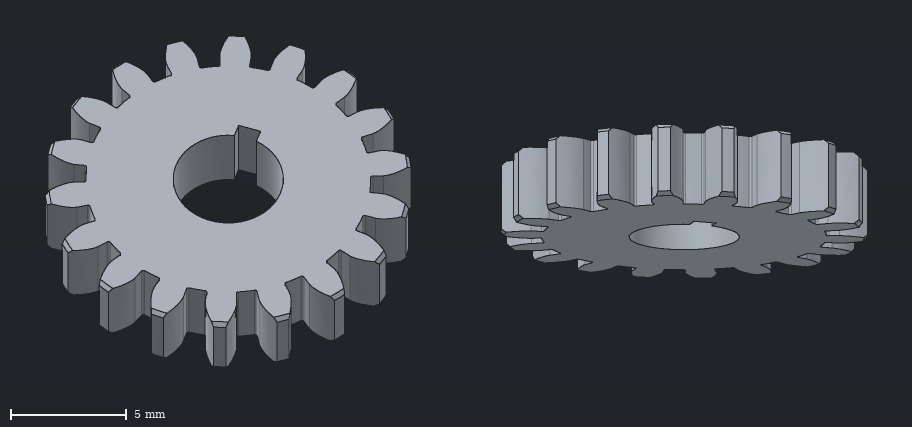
import cadquery as cq
import math

tooth_count = 18
outer_diameter = 15.88
pressure_angle = math.radians(20)
dedendum_ratio = 1.25
first_tooth_angle = 5.86
face_width = 3.17
tip_chamfer = 0.17
root_fillet = 0.1

bore_diameter = 4.76
key_width = 1.0
key_top = 2.9

module = outer_diameter / (tooth_count + 2)
tip_radius = outer_diameter / 2
pitch_radius = module * tooth_count / 2
base_radius = pitch_radius * math.cos(pressure_angle)
root_radius = pitch_radius - dedendum_ratio * module
tooth_pitch = 360 / tooth_count

flank_points = 7


def involute(angle):
    return math.tan(angle) - angle


def tooth_half_angle(radius):
    """Half the angle the tooth covers at a radius, in radians."""
    local_pressure_angle = math.acos(min(1, base_radius / radius))
    half_angle_at_pitch = math.pi / (2 * tooth_count)
    return half_angle_at_pitch + involute(pressure_angle) - involute(local_pressure_angle)


def polar(radius, angle):
    return (radius * math.cos(angle), radius * math.sin(angle))


def make_tooth():
    """Tooth centred on +X: involute flanks, radial below the base circle."""
    step = (tip_radius - base_radius) / (flank_points - 1)
    radii = [base_radius + i * step for i in range(flank_points)]
    lower_flank = [polar(r, -tooth_half_angle(r)) for r in radii]
    upper_flank = [polar(r, tooth_half_angle(r)) for r in reversed(radii)]
    base_half_angle = tooth_half_angle(base_radius)
    foot_radius = root_radius - module

    return (
        cq.Workplane("XY")
        .moveTo(*polar(foot_radius, -base_half_angle))
        .lineTo(*lower_flank[0])
        .spline(lower_flank[1:], includeCurrent=True)
        .threePointArc((tip_radius, 0), upper_flank[0])
        .spline(upper_flank[1:], includeCurrent=True)
        .lineTo(*polar(foot_radius, base_half_angle))
        .close()
        .extrude(face_width)
    )


def make_toothed_body():
    body = cq.Workplane("XY").circle(root_radius).extrude(face_width)
    tooth = make_tooth()
    for i in range(tooth_count):
        angle = first_tooth_angle + i * tooth_pitch
        body = body.union(tooth.rotate((0, 0, 0), (0, 0, 1), angle))
    return body


def round_tooth_roots(body):
    """Fillet the upright corners between the flanks and the root circle."""
    corner_limit = (root_radius + base_radius) / 2
    corners = [
        edge
        for edge in body.edges("|Z").vals()
        if math.hypot(edge.Center().x, edge.Center().y) < corner_limit
    ]
    return body.newObject(corners).fillet(root_fillet)


def chamfer_tips(body):
    """Trim the teeth to a disc whose two rims are chamfered."""
    envelope = cq.Workplane("XY").circle(tip_radius).extrude(face_width)
    envelope = envelope.faces("<Z or >Z").edges().chamfer(tip_chamfer)
    return body.intersect(envelope)


def cut_keyed_bore(body):
    bore = cq.Workplane("XY").circle(bore_diameter / 2).extrude(face_width)
    keyway = (
        cq.Workplane("XY")
        .center(0, key_top / 2)
        .rect(key_width, key_top)
        .extrude(face_width)
    )
    return body.cut(bore.union(keyway))


gear = make_toothed_body()
gear = round_tooth_roots(gear)
gear = chamfer_tips(gear)
result = cut_keyed_bore(gear)